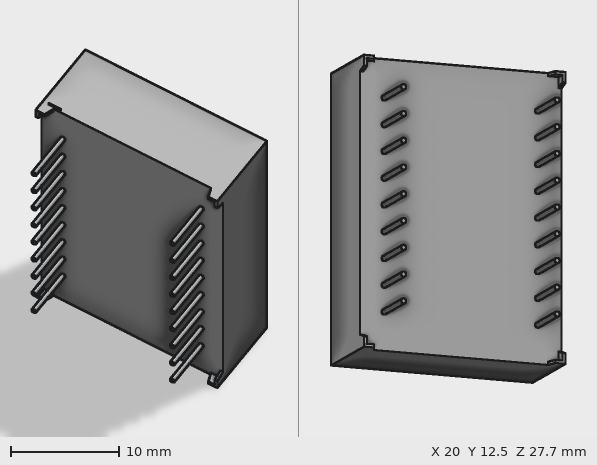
import cadquery as cq

WIDTH = 20.0
HEIGHT = 27.71
TOTAL_DEPTH = 12.5
PIN_LENGTH = 5.0
HOUSING_DEPTH = TOTAL_DEPTH - PIN_LENGTH

PIN_DIAMETER = 0.5
PIN_PITCH = 2.54
PINS_PER_COLUMN = 9
COLUMN_SPACING = 6 * PIN_PITCH

FOOT_HEIGHT = 1.0
FOOT_WALL = 0.3
FOOT_TIP_LENGTH = 1.0
FOOT_BASE_LENGTH = 1.35

SLIT_LENGTH = 1.35
SLIT_WIDTH = 0.1
SLIT_DEPTH = 0.1
SLIT_END_OFFSET = 0.6
SLIT_FACE_OFFSET = 0.25

SIDES = (-1, 1)


def make_housing():
    return cq.Workplane("XY").box(WIDTH, HOUSING_DEPTH, HEIGHT, centered=(True, False, True))


def foot_profile(plane, side, half_size):
    """Sloped foot outline; the first plane axis runs along the wall, the second along Y."""
    edge = side * half_size
    return cq.Workplane(plane).polyline([
        (edge, 0),
        (edge, -FOOT_HEIGHT),
        (edge - side * FOOT_TIP_LENGTH, -FOOT_HEIGHT),
        (edge - side * FOOT_BASE_LENGTH, 0),
    ]).close()


def make_foot(x_side, z_side):
    """L-shaped foot in one corner: a wall along X joined to a wall along Z."""
    x_plane = cq.Plane(
        origin=(0, 0, z_side * HEIGHT / 2), xDir=(1, 0, 0), normal=(0, 0, 1)
    )
    z_plane = cq.Plane(
        origin=(x_side * WIDTH / 2, 0, 0), xDir=(0, 0, 1), normal=(-1, 0, 0)
    )
    wall_along_x = foot_profile(x_plane, x_side, WIDTH / 2).extrude(-z_side * FOOT_WALL)
    wall_along_z = foot_profile(z_plane, z_side, HEIGHT / 2).extrude(x_side * FOOT_WALL)
    return wall_along_x.union(wall_along_z)


def make_pins():
    return (
        cq.Workplane("XZ")
        .rarray(COLUMN_SPACING, PIN_PITCH, len(SIDES), PINS_PER_COLUMN)
        .circle(PIN_DIAMETER / 2)
        .extrude(PIN_LENGTH)
    )


def make_slit():
    corner = (
        -WIDTH / 2 + SLIT_END_OFFSET,
        SLIT_FACE_OFFSET,
        HEIGHT / 2 - SLIT_DEPTH,
    )
    return (
        cq.Workplane("XY")
        .box(SLIT_LENGTH, SLIT_WIDTH, SLIT_DEPTH, centered=False)
        .translate(corner)
    )


result = make_housing().cut(make_slit())
for x_side in SIDES:
    for z_side in SIDES:
        result = result.union(make_foot(x_side, z_side))
result = result.union(make_pins())